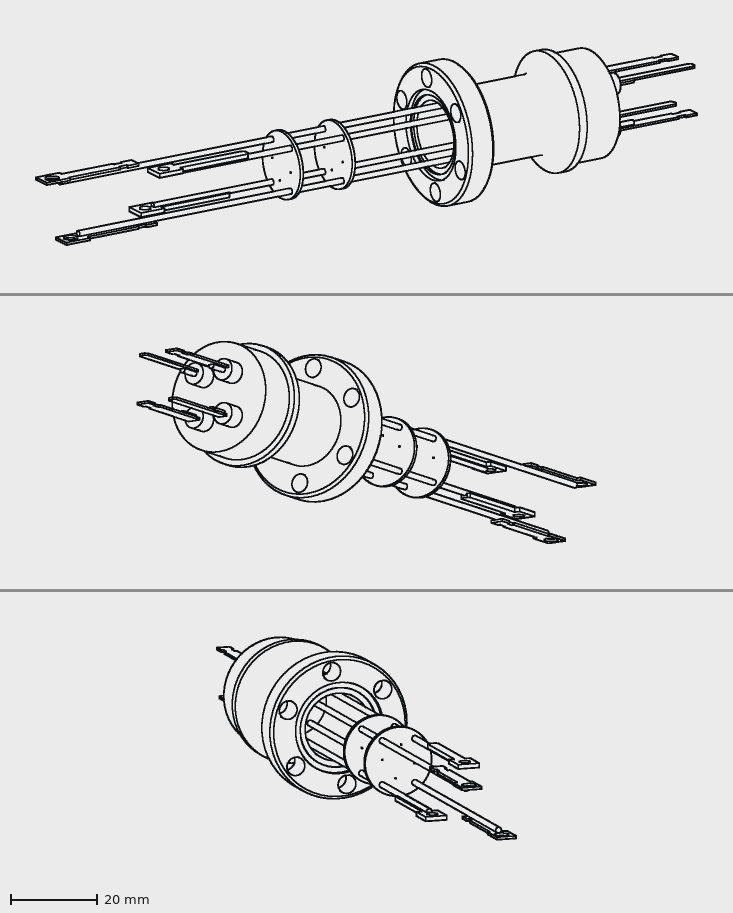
import cadquery as cq
import math


flange_radius = 16.9
flange_thickness = 7.0
flange_chamfer = 0.7
bolt_count = 6
bolt_circle_radius = 13.5
bolt_hole_diameter = 4.3
bolt_start_angle = 98
recess_radius = 10.8
recess_depth = 1.2
knife_radius = 9.4
knife_depth = 0.6
bore_radius = 8.0

neck_radius = 9.5
flare_radius = 3.6
ring_radius = 14.5
ring_front = 31.6
ring_back = 33.7
cup_radius = 13.0
cup_back = 43.6

wire_x = 4.0
wire_z = 5.2
wire_radius = 0.7
wire_air_end = 52.8
sleeve_radius = 2.52
sleeve_back = 48.0

disc_radius = 8.2
disc_thickness = 0.9
disc_centres = (-26.4, -40.7)
vent_count = 4
vent_diameter = 0.26
vent_circle_radius = 4.0
vent_start_angle = -10

blade_tip = 69.5
blade_thickness = 0.5
blade_height = 0.78
narrow_blade_width = 2.3
wide_width = 3.1
corner_chamfer = 0.5
waist_width = 2.0
notch_length = 2.0
notch_offset = 3.0

lug_tip = -104.2
lug_length = 25.5
lug_height = 1.2
long_lug_thickness = 0.6
short_lug_thickness = 1.0
short_lug_width = 2.6
short_lug_start = lug_tip + 2 * lug_length
tag_length = 6.5
short_tag_width = 5.2
long_tag_width = 4.7
long_tag_shift = (short_tag_width - long_tag_width) / 2
short_hole_diameter = 2.6
long_hole_diameter = 3.3
tag_hole_offset = 2.8
wire_end_offset = 4.9


def disc(radius, y_start, y_end):
    """Solid cylinder on the main axis between two Y positions."""
    return cq.Workplane("XZ", origin=(0, y_start, 0)).circle(radius).extrude(y_start - y_end)


def rod(x, z, radius, y_start, y_end):
    """Solid cylinder parallel to Y through (x, z)."""
    return disc(radius, y_start, y_end).translate((x, 0, z))


def strip(width, thickness, y_start, y_end):
    """Flat strip along Y whose outer face is on Z = 0, the thickness going to -Z."""
    strip_box = cq.Workplane("XY").box(width, y_end - y_start, thickness, centered=(True, False, False))
    return strip_box.translate((0, y_start, -thickness))


def ring_of_holes(count, circle_radius, start_angle, diameter, y_start, y_end):
    """Cutters for holes parallel to Y on a circle about the main axis."""
    cutters = cq.Workplane("XY")
    for i in range(count):
        angle = math.radians(start_angle + 360 / count * i)
        x = circle_radius * math.cos(angle)
        z = circle_radius * math.sin(angle)
        cutters = cutters.add(rod(x, z, diameter / 2, y_start, y_end))
    return cutters.combine()


def make_body():
    """Revolved flange, neck, flared ring and cup with its blind bore."""
    flare_mid = flare_radius * (1 - math.sqrt(0.5))
    profile = (
        cq.Workplane("XY")
        .moveTo(0, ring_front)
        .lineTo(bore_radius, ring_front)
        .lineTo(bore_radius, recess_depth)
        .lineTo(knife_radius, recess_depth)
        .lineTo(knife_radius, knife_depth)
        .lineTo(recess_radius, recess_depth)
        .lineTo(recess_radius, 0)
        .lineTo(flange_radius - flange_chamfer, 0)
        .lineTo(flange_radius, flange_chamfer)
        .lineTo(flange_radius, flange_thickness - flange_chamfer)
        .lineTo(flange_radius - flange_chamfer, flange_thickness)
        .lineTo(neck_radius, flange_thickness)
        .lineTo(neck_radius, ring_front - flare_radius)
        .threePointArc(
            (neck_radius + flare_mid, ring_front - flare_mid),
            (neck_radius + flare_radius, ring_front),
        )
        .lineTo(ring_radius, ring_front)
        .lineTo(ring_radius, ring_back)
        .lineTo(cup_radius, ring_back)
        .lineTo(cup_radius, cup_back)
        .lineTo(0, cup_back)
        .close()
    )
    body = profile.revolve(360, (0, 0, 0), (0, 1, 0))
    bolt_holes = ring_of_holes(
        bolt_count, bolt_circle_radius, bolt_start_angle, bolt_hole_diameter, 0, flange_thickness
    )
    return body.cut(bolt_holes)


def make_spacer(y_centre):
    """Spacer disc with its small vent holes."""
    front = y_centre - disc_thickness / 2
    back = y_centre + disc_thickness / 2
    vents = ring_of_holes(
        vent_count, vent_circle_radius, vent_start_angle, vent_diameter, front, back
    )
    return disc(disc_radius, front, back).cut(vents)


def cut_notches(blade, y_start):
    """Narrow a wide strip to the waist width over the notch length."""
    y_end = y_start + notch_length
    depth = max(blade_thickness, long_lug_thickness)
    waist = strip(waist_width, depth, y_start, y_end)
    notches = strip(wide_width, depth, y_start, y_end).cut(waist)
    return blade.cut(notches)


def make_blade(narrow):
    """Air-side blade; the wide one is notched near its tip."""
    if narrow:
        blade = strip(narrow_blade_width, blade_thickness, cup_back, blade_tip)
        return blade.edges("|Z and >Y").chamfer(corner_chamfer)
    blade = strip(wide_width, blade_thickness, cup_back, blade_tip)
    return cut_notches(blade, blade_tip - notch_offset - notch_length)


def make_lug(short):
    """Vacuum-side lug: a strip that ends in a wider tag with a hole."""
    if short:
        start = short_lug_start
        end = start - lug_length
        thickness = short_lug_thickness
        lug = strip(short_lug_width, thickness, end, start)
        lug = lug.edges("|Z and >Y").chamfer(corner_chamfer)
        tag = strip(short_tag_width, thickness, end, end + tag_length)
        hole_diameter = short_hole_diameter
    else:
        start = lug_tip + lug_length
        end = lug_tip
        thickness = long_lug_thickness
        lug = strip(wide_width, thickness, end, start)
        lug = cut_notches(lug, start - notch_offset - notch_length)
        tag = strip(long_tag_width, thickness, end, end + tag_length).translate((long_tag_shift, 0, 0))
        hole_diameter = long_hole_diameter
    hole = cq.Workplane("XY").circle(hole_diameter / 2).extrude(-thickness)
    return lug.union(tag).cut(hole.translate((0, end + tag_hole_offset, 0)))


def make_conductor(short):
    """Sleeve, wire, blade and lug of one conductor in the +X, +Z corner."""
    lug_end = lug_tip + (lug_length if short else 0)
    wire_end = lug_end + wire_end_offset
    wire = rod(wire_x, wire_z, wire_radius, wire_end, wire_air_end)
    sleeve = rod(wire_x, wire_z, sleeve_radius, cup_back, sleeve_back)
    blade = make_blade(short).translate((wire_x, 0, wire_z + blade_height))
    lug = make_lug(short).translate((wire_x, 0, wire_z + lug_height))
    return wire.union(sleeve).union(blade).union(lug)


result = make_body()
for disc_centre in disc_centres:
    result = result.union(make_spacer(disc_centre))

short_conductor = make_conductor(True)
long_conductor = make_conductor(False).mirror("YZ")
for conductor in (short_conductor, long_conductor):
    result = result.union(conductor)
    result = result.union(conductor.rotate((0, 0, 0), (0, 1, 0), 180))